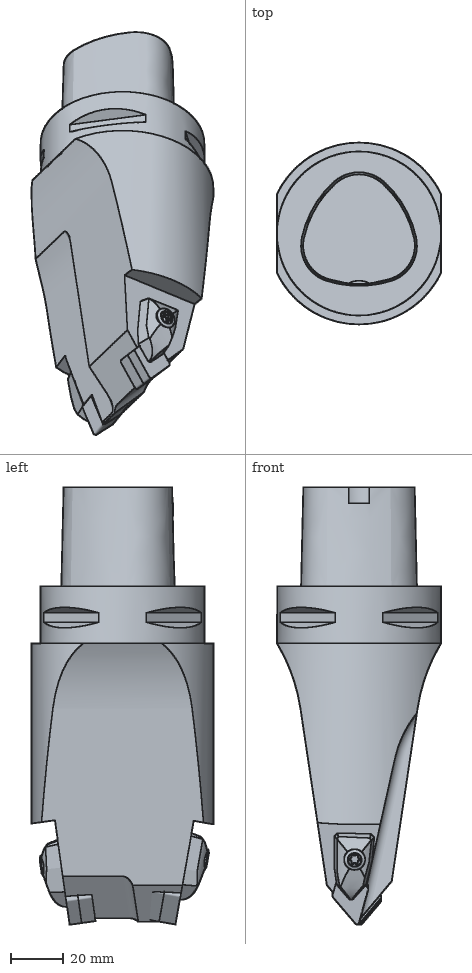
import cadquery as cq
import math

TOTAL_HEIGHT = 168.0
COLLAR_TOP = 130.0
COLLAR_BOTTOM = 108.0

COLLAR_DIAMETER = 63.0
BLADE_DIAMETER = 69.9
FLANK_TANGENT = (22.5, 83.0)
FLANK_ANGLE = 8.5

LOBE_COUNT = 3
FIRST_FLAT_ANGLE = -90.0
LOBE_REACH = 23.5
FLAT_REACH = 20.2
LOBE_RADIUS = 14.3
SHANK_TAPER = 1.3
KEY_RADIUS = 8.4
KEY_WIDTH = 7.9
KEY_DEPTH = 1.2
KEY_HEIGHT = 6.2

GRIP_COUNT = 4
GRIP_FIRST_ANGLE = 45.0
GRIP_LEVEL = 118.0
GRIP_FLOOR_RADIUS = 27.7
GRIP_FLOOR_HEIGHT = 3.5
GRIP_WALL_ANGLE = 30.0

BEVEL_ANGLE = 40.0
FRONT_BEVEL_START = (-13.1, 16.1)
BACK_BEVEL_START = (12.8, 17.0)
BACK_RELIEF_START = (-13.8, 19.7)
RELIEF_FLOOR = -4.2
RELIEF_SKEW = 6.7
RELIEF_FILLET = 4.2

FLUTE_START = (13.8, 63.8)
FLUTE_END = (23.0, 82.2)
FLUTE_ANGLE = 12.5
FLUTE_FLOOR = -4.0
FLUTE_FILLET = 3.4

FRONT_SEAT_TILT = 10.0
BACK_SEAT_TILT = 8.0
SEAT_REACH = 20.3
SEAT_TOP = 40.5

INSERT_NOSE = 0.8
FRONT_TIP = (-0.3, -0.8)
FRONT_EDGE = 15.5
FRONT_CORNER = 55.0
FRONT_THICKNESS = 6.4
BACK_TIP = (-0.5, -0.47)
BACK_EDGE = 13.0
BACK_CORNER = 80.0
BACK_THICKNESS = 4.7
SHIM_THICKNESS = 5.4

FRONT_SCREW = (-1.7, 26.7)
BACK_SCREW = (-0.3, 23.9)
CLAMP_OUTLINE = [
    (-6.5, 9.0),
    (-7.7, 7.9),
    (-7.7, -5.0),
    (-6.9, -11.1),
    (-1.8, -17.0),
    (-0.8, -17.0),
    (4.4, -11.1),
    (6.7, -1.7),
    (7.5, 7.4),
    (6.2, 8.7),
]
CLAMP_RIDGE = [(9.0, 1.7), (6.7, 5.4), (1.7, 7.4), (-7.7, 6.5), (-14.6, 4.0), (-17.0, 0.7)]
CLAMP_DRAFT = 12.0
CLAMP_HALF_WIDTH = 7.7
CLAMP_WALL = 3.4
CLAMP_CROWN = 7.5

SCREW_DIAMETER = 8.0
SCREW_TOP = 7.9
SCREW_CROWN = 0.5
SCREW_SHOULDER = 1.3
SOCKET_DIAMETER = 5.2
SOCKET_DEPTH = 0.7
STAR_LOBES = 6
STAR_RADIUS = 1.5
STAR_LOBE_RADIUS = 0.5
STAR_DEPTH = 2.5

MARGIN = 50.4


def along(start, angle, length):
    """Point reached from start when heading at an angle (degrees) from +Z towards +X."""
    rad = math.radians(angle)
    return (start[0] + length * math.sin(rad), start[1] + length * math.cos(rad))


def polar(radius, degrees):
    rad = math.radians(degrees)
    return (radius * math.cos(rad), radius * math.sin(rad))


def prism_along_y(outline, y_from, y_to):
    """Extrude an outline drawn on the XZ plane between two Y levels."""
    return outline.extrude(y_from - y_to).translate((0, y_from, 0))


def make_shank():
    """Tapered shank whose outline is three flat arcs joined tangentially by three lobe arcs."""
    lobe_offset = LOBE_REACH - LOBE_RADIUS
    lobe_x = lobe_offset * math.cos(math.radians(90 - 180 / LOBE_COUNT))
    drop = FLAT_REACH - lobe_offset * math.cos(math.radians(180 / LOBE_COUNT))
    flat_radius = (lobe_x**2 + drop**2 - LOBE_RADIUS**2) / (2 * (drop - LOBE_RADIUS))
    half_arc = math.atan2(lobe_x, flat_radius - drop)

    joint_x = flat_radius * math.sin(half_arc)
    joint_depth = flat_radius * math.cos(half_arc) - (flat_radius - FLAT_REACH)
    joint_radius = math.hypot(joint_x, joint_depth)
    joint_angle = math.degrees(math.atan2(joint_x, joint_depth))

    pitch = 360 / LOBE_COUNT
    outline = cq.Workplane("XY").workplane(offset=COLLAR_TOP)
    outline = outline.moveTo(*polar(joint_radius, FIRST_FLAT_ANGLE - joint_angle))
    for index in range(LOBE_COUNT):
        flat_angle = FIRST_FLAT_ANGLE + index * pitch
        flat_end = polar(joint_radius, flat_angle + joint_angle)
        lobe_end = polar(joint_radius, flat_angle + pitch - joint_angle)
        outline = outline.threePointArc(polar(FLAT_REACH, flat_angle), flat_end)
        outline = outline.threePointArc(polar(LOBE_REACH, flat_angle + pitch / 2), lobe_end)
    return outline.close().extrude(TOTAL_HEIGHT - COLLAR_TOP, taper=SHANK_TAPER)


def make_key_slot():
    """Rounded notch in the front flat at the top of the shank."""
    top_flat = FLAT_REACH - (TOTAL_HEIGHT - COLLAR_TOP) * math.tan(math.radians(SHANK_TAPER))
    inner = -top_flat + KEY_DEPTH
    return (
        cq.Workplane("XY")
        .workplane(offset=TOTAL_HEIGHT - KEY_HEIGHT)
        .center(0, inner - KEY_RADIUS)
        .circle(KEY_RADIUS)
        .extrude(KEY_HEIGHT)
        .intersect(cq.Workplane("XY").box(KEY_WIDTH, 2 * MARGIN, 2 * TOTAL_HEIGHT))
    )


def make_collar():
    """Round collar with straight V-sided gripper grooves."""
    collar = (
        cq.Workplane("XY")
        .workplane(offset=COLLAR_BOTTOM)
        .circle(COLLAR_DIAMETER / 2)
        .extrude(COLLAR_TOP - COLLAR_BOTTOM)
    )
    depth = COLLAR_DIAMETER / 2
    half_floor = GRIP_FLOOR_HEIGHT / 2
    half_mouth = half_floor + depth * math.tan(math.radians(GRIP_WALL_ANGLE))
    groove = (
        cq.Workplane("XZ")
        .polyline([
            (GRIP_FLOOR_RADIUS, GRIP_LEVEL - half_floor),
            (GRIP_FLOOR_RADIUS + depth, GRIP_LEVEL - half_mouth),
            (GRIP_FLOOR_RADIUS + depth, GRIP_LEVEL + half_mouth),
            (GRIP_FLOOR_RADIUS, GRIP_LEVEL + half_floor),
        ])
        .close()
    )
    groove = prism_along_y(groove, -depth, depth)
    for index in range(GRIP_COUNT):
        angle = GRIP_FIRST_ANGLE + index * 360 / GRIP_COUNT
        collar = collar.cut(groove.rotate((0, 0, 0), (0, 0, 1), angle))
    return collar


def flank_arc_middle(side):
    """Middle of the arc that leaves the flank tangentially and ends at the collar."""
    flank_x, flank_z = FLANK_TANGENT
    rise = COLLAR_BOTTOM - flank_z
    run = COLLAR_DIAMETER / 2 - flank_x
    chord = math.hypot(run, rise)
    chord_angle = math.degrees(math.atan2(run, rise))
    half_turn = chord_angle - FLANK_ANGLE
    mid_chord = chord / 2 / math.cos(math.radians(half_turn / 2))
    x, z = along(FLANK_TANGENT, FLANK_ANGLE + half_turn / 2, mid_chord)
    return (side * x, z)


def make_blade():
    """Round blank narrowed by two flanks that curve in from the collar."""
    half_collar = COLLAR_DIAMETER / 2
    flank_x, flank_z = FLANK_TANGENT
    foot_x = flank_x - flank_z * math.tan(math.radians(FLANK_ANGLE))
    outline = (
        cq.Workplane("XZ")
        .moveTo(half_collar, COLLAR_BOTTOM)
        .lineTo(-half_collar, COLLAR_BOTTOM)
        .threePointArc(flank_arc_middle(-1), (-flank_x, flank_z))
        .lineTo(-foot_x, 0)
        .lineTo(foot_x, 0)
        .lineTo(flank_x, flank_z)
        .threePointArc(flank_arc_middle(1), (half_collar, COLLAR_BOTTOM))
        .close()
    )
    slab = prism_along_y(outline, -MARGIN, MARGIN)
    return slab.intersect(cq.Workplane("XY").circle(BLADE_DIAMETER / 2).extrude(COLLAR_BOTTOM))


def make_bevel_cut(start, y_from):
    """Space below a bevel that passes through start, from one Y level to beyond the back."""
    side = math.copysign(1, start[0])
    upper = along(start, side * BEVEL_ANGLE, MARGIN)
    lower = along(start, side * BEVEL_ANGLE, -MARGIN)
    outline = cq.Workplane("XZ").polyline([upper, lower, (upper[0], lower[1])]).close()
    return prism_along_y(outline, y_from, MARGIN)


def make_back_relief():
    """Deeper bevel on the back half, rounded where it meets the step to the front half."""
    tool = make_bevel_cut(BACK_RELIEF_START, RELIEF_FLOOR)
    corner = cq.Vector(BACK_RELIEF_START[0], RELIEF_FLOOR, BACK_RELIEF_START[1])
    tool = tool.edges(cq.selectors.NearestToPointSelector(corner)).fillet(RELIEF_FILLET)
    outward_x, outward_z = along((0, 0), -BEVEL_ANGLE - 90, 1.7)
    return tool.rotate(corner, corner + cq.Vector(outward_x, 0, outward_z), RELIEF_SKEW)


def make_flute():
    """Step cut along the front insert that runs out through the flank in an arc."""
    lower = along(FLUTE_START, 180 + FLUTE_ANGLE, 2 * MARGIN)
    outline = (
        cq.Workplane("XZ")
        .moveTo(*lower)
        .lineTo(*FLUTE_START)
        .tangentArcPoint(FLUTE_END, relative=False)
        .lineTo(MARGIN, FLUTE_END[1])
        .lineTo(MARGIN, lower[1])
        .close()
    )
    tool = prism_along_y(outline, -MARGIN, FLUTE_FLOOR)
    wall_middle = ((lower[0] + FLUTE_START[0]) / 2, FLUTE_FLOOR, (lower[1] + FLUTE_START[1]) / 2)
    return tool.edges(cq.selectors.NearestToPointSelector(wall_middle)).fillet(FLUTE_FILLET)


def seat_plane(side, tilt):
    """Plane of a seat; side is -1 at the front and 1 at the back. Its local y points up the seat."""
    rad = math.radians(tilt)
    return cq.Plane(
        origin=(0, side * SEAT_REACH, 0),
        xDir=(-side, 0, 0),
        normal=(0, side * math.cos(rad), -math.sin(rad)),
    )


def make_seat_cut():
    """Space in front of a seat, in the seat's own axes."""
    return cq.Workplane("XY").center(0, SEAT_TOP - MARGIN).rect(2 * MARGIN, 2 * MARGIN).extrude(MARGIN)


def rhombus(tip, edge, corner):
    """Rhombus standing on its corner at tip, with its lower left edge parallel to the bevel."""
    left = along(tip, -BEVEL_ANGLE, edge)
    right = along(tip, corner - BEVEL_ANGLE, edge)
    top = along(left, corner - BEVEL_ANGLE, edge)
    return cq.Workplane("XY").polyline([tip, right, top, left]).close()


def make_plate(tip, edge, corner, thickness):
    """Rhombic plate with rounded corners, from the seat surface inwards."""
    return rhombus(tip, edge, corner).extrude(-thickness).edges("|Z").fillet(INSERT_NOSE)


def make_shim(tip, edge, corner, insert_thickness):
    """Support plate of the same outline, directly under an insert."""
    return make_plate(tip, edge, corner, SHIM_THICKNESS).translate((0, 0, -insert_thickness))


def make_socket():
    """Round recess with a deeper six-lobed star, in the head of the screw."""
    socket = cq.Workplane("XY").circle(SOCKET_DIAMETER / 2).extrude(-SOCKET_DEPTH)
    star = cq.Workplane("XY").circle(STAR_RADIUS).extrude(-STAR_DEPTH)
    lobes = (
        cq.Workplane("XY")
        .polarArray(STAR_RADIUS, 0, 360, STAR_LOBES)
        .circle(STAR_LOBE_RADIUS)
        .extrude(-STAR_DEPTH)
    )
    return socket.union(star).union(lobes).translate((0, 0, SCREW_TOP))


def make_clamp():
    """Domed clamp with its screw, in seat axes around the screw axis."""
    clamp = cq.Workplane("XY").polyline(CLAMP_OUTLINE).close().extrude(SCREW_TOP, taper=CLAMP_DRAFT)
    ridge = (
        cq.Workplane("YZ")
        .moveTo(CLAMP_RIDGE[0][0], 0)
        .lineTo(*CLAMP_RIDGE[0])
        .spline(CLAMP_RIDGE[1:], includeCurrent=True)
        .lineTo(CLAMP_RIDGE[-1][0], 0)
        .close()
        .extrude(2 * MARGIN)
        .translate((-MARGIN, 0, 0))
    )
    arch = (
        cq.Workplane("XZ")
        .moveTo(-CLAMP_HALF_WIDTH, 0)
        .lineTo(-CLAMP_HALF_WIDTH, CLAMP_WALL)
        .threePointArc((0, CLAMP_CROWN), (CLAMP_HALF_WIDTH, CLAMP_WALL))
        .lineTo(CLAMP_HALF_WIDTH, 0)
        .close()
    )
    arch = prism_along_y(arch, -MARGIN, MARGIN)
    screw = cq.Workplane("XY").circle(SCREW_DIAMETER / 2).extrude(SCREW_TOP)
    screw = screw.faces(">Z").chamfer(SCREW_CROWN, SCREW_SHOULDER)
    return clamp.intersect(ridge).intersect(arch).union(screw).cut(make_socket())


def place(shape, plane):
    """Move a shape from seat axes to the seat."""
    return cq.Workplane("XY").add(shape.val().moved(plane.location))


front_seat = seat_plane(-1, FRONT_SEAT_TILT)
back_seat = seat_plane(1, BACK_SEAT_TILT)
front_shape = (FRONT_TIP, FRONT_EDGE, FRONT_CORNER, FRONT_THICKNESS)
back_shape = (BACK_TIP, BACK_EDGE, BACK_CORNER, BACK_THICKNESS)
stations = [(front_seat, front_shape, FRONT_SCREW), (back_seat, back_shape, BACK_SCREW)]

inserts = [place(make_plate(*shape), seat) for seat, shape, screw in stations]

blade = make_blade()
blade = blade.cut(make_bevel_cut(FRONT_BEVEL_START, -MARGIN))
blade = blade.cut(make_bevel_cut(BACK_BEVEL_START, -MARGIN))
blade = blade.cut(make_back_relief())
for seat, shape, screw in stations:
    blade = blade.cut(place(make_seat_cut(), seat))
    blade = blade.union(place(make_shim(*shape), seat))
    blade = blade.union(place(make_clamp().translate((*screw, 0)), seat))
blade = blade.cut(make_flute())

holder = make_shank().cut(make_key_slot()).union(make_collar()).union(blade)
for insert in inserts:
    holder = holder.cut(insert)

result = cq.Compound.makeCompound([holder.val(), *[insert.val() for insert in inserts]])